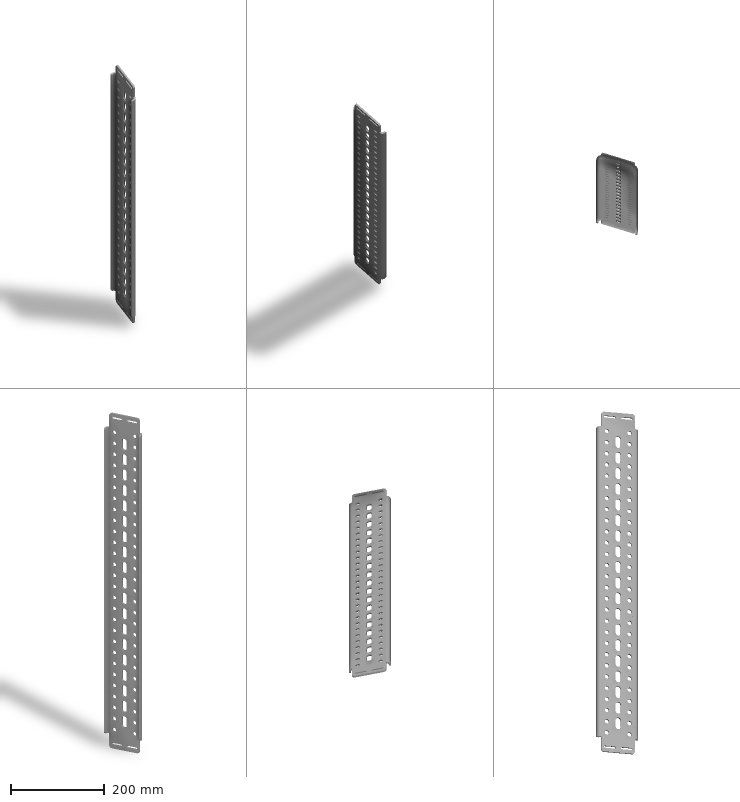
import cadquery as cq
import math

length = 761.0
width = 91.0
depth = 12.0
thickness = 4.0
bend_radius = 8.0
web_width = width - 2 * bend_radius
web_corner_radius = 6.0

flange_length = 695.0
flange_corner_radius = 4.5

hole_diameter = 9.0
hole_column_spacing = 50.0
hole_count = 28
hole_column_span = 675.0
hole_pitch = hole_column_span / (hole_count - 1)

slot_length = 26.0
slot_width = 11.5
slot_count = 19
slot_column_span = 630.0
slot_pitch = slot_column_span / (slot_count - 1)

end_slot_length = 26.0
end_slot_width = 4.5
end_slot_spacing = 37.0
end_slot_inset = 11.0

back_y = depth / 2
front_y = -depth / 2


def back_plane():
    """Sketch plane on the back face; positive extrusion runs toward -Y into the web."""
    return cq.Workplane("XZ", origin=(0, back_y, 0))


def make_web():
    """Flat web with rounded corners, lying against the back face."""
    return (
        back_plane()
        .rect(web_width, length)
        .extrude(thickness)
        .edges("|Y")
        .fillet(web_corner_radius)
    )


def make_flange(side):
    """Bent flange on one side of the web (side is -1 or +1), with rounded free corners."""
    bend_x = side * web_width / 2
    outer_x = side * width / 2
    inner_x = outer_x - side * thickness
    bend_y = back_y - bend_radius
    diagonal = math.sqrt(0.5)
    outer_mid = bend_radius * diagonal
    inner_mid = (bend_radius - thickness) * diagonal
    flange = (
        cq.Workplane("XY", origin=(0, 0, -flange_length / 2))
        .moveTo(bend_x, back_y)
        .threePointArc((bend_x + side * outer_mid, bend_y + outer_mid), (outer_x, bend_y))
        .lineTo(outer_x, front_y)
        .lineTo(inner_x, front_y)
        .lineTo(inner_x, bend_y)
        .threePointArc((bend_x + side * inner_mid, bend_y + inner_mid), (bend_x, back_y - thickness))
        .close()
        .extrude(flange_length)
    )
    return flange.faces("<Y").edges("|X").fillet(flange_corner_radius)


def make_round_holes():
    """Cutters for the two columns of round holes."""
    return (
        back_plane()
        .rarray(hole_column_spacing, hole_pitch, 2, hole_count)
        .circle(hole_diameter / 2)
        .extrude(thickness)
    )


def make_center_slots():
    """Cutters for the column of upright slots on the centerline."""
    first_z = -slot_column_span / 2
    centers = [(0, first_z + i * slot_pitch) for i in range(slot_count)]
    return back_plane().pushPoints(centers).slot2D(slot_length, slot_width, 90).extrude(thickness)


def make_end_slots():
    """Cutters for the pair of flat slots at each end."""
    return (
        back_plane()
        .rarray(end_slot_spacing, length - 2 * end_slot_inset, 2, 2)
        .slot2D(end_slot_length, end_slot_width)
        .extrude(thickness)
    )


result = make_web()
for side in (-1, 1):
    result = result.union(make_flange(side))
result = result.cut(make_round_holes()).cut(make_center_slots()).cut(make_end_slots())